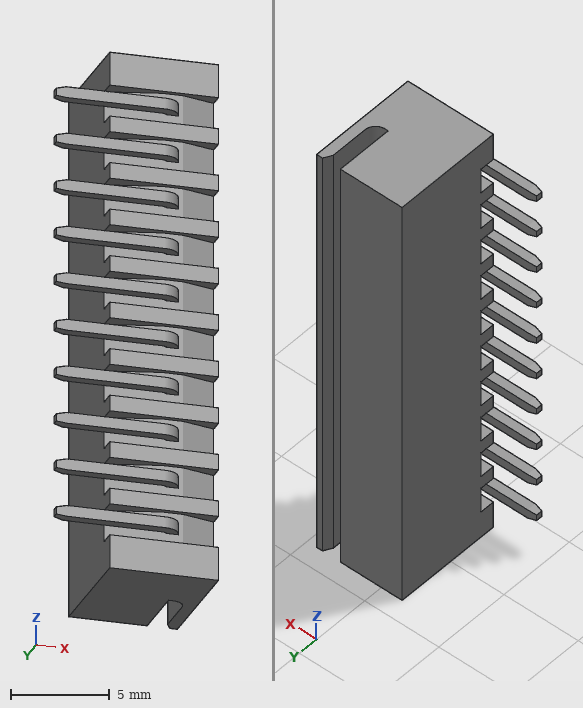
import cadquery as cq
import math


body_width = 5.76
body_depth = 7.0
body_length = 28.12

pin_count = 10
end_wall = 1.8
pocket_length = 1.7
pin_pitch = (body_length - 2 * end_wall - pocket_length) / (pin_count - 1)

seat_depth = 0.28
seat_start = 2.87
seat_end = 4.0
left_pocket_depth = 0.95
right_pocket_depth = 0.82

slit_start = 4.15
slit_width = 0.93
slit_end = slit_start + slit_width
slit_depth = 3.65
slit_corner_radius = 0.7
lip_bevel_width = 0.28
lip_bevel_depth = 0.5

pin_size = 0.6
pin_overhang = 2.95
pin_standoff = 0.45
pin_outer_face = -pin_standoff
pin_inner_face = pin_outer_face + pin_size
bend_outer_radius = 0.93
bend_inner_radius = bend_outer_radius - pin_size
bend_start = 2.8
bend_centre_y = pin_outer_face + bend_outer_radius
leg_outer_x = bend_start + bend_outer_radius
leg_inner_x = leg_outer_x - pin_size
leg_length = 0.28
leg_end = bend_centre_y + leg_length
tip_length = 0.5
tip_size = 0.4
tip_end = -pin_overhang
shank_start = tip_end + tip_length


def make_body():
    """Solid block with the latch slit cut through its whole length."""
    block = cq.Workplane("XY").box(body_width, body_depth, body_length, centered=False)
    slit_floor = body_depth - slit_depth
    arc_offset = slit_corner_radius * math.sqrt(0.5)
    arc_centre = (slit_end - slit_corner_radius, slit_floor + slit_corner_radius)
    slit = (
        cq.Workplane("XY")
        .moveTo(slit_start, body_depth)
        .lineTo(slit_start, slit_floor)
        .lineTo(arc_centre[0], slit_floor)
        .threePointArc(
            (arc_centre[0] + arc_offset, arc_centre[1] - arc_offset),
            (slit_end, arc_centre[1]),
        )
        .lineTo(slit_end, body_depth - lip_bevel_depth)
        .lineTo(slit_end + lip_bevel_width, body_depth)
        .close()
        .extrude(body_length)
    )
    return block.cut(slit)


def make_pocket(centre_z):
    """Material removed around one pin."""
    return (
        cq.Workplane("XY")
        .workplane(offset=centre_z - pocket_length / 2)
        .polyline([
            (0, 0),
            (0, left_pocket_depth),
            (seat_start, seat_depth),
            (seat_end, seat_depth),
            (body_width, right_pocket_depth),
            (body_width, 0),
        ])
        .close()
        .extrude(pocket_length)
    )


def make_pin(centre_z):
    """Square pin with a tapered tip, bent a quarter turn into the body."""
    diagonal_factor = math.sqrt(0.5)
    outer_mid = bend_outer_radius * diagonal_factor
    inner_mid = bend_inner_radius * diagonal_factor
    shank = (
        cq.Workplane("XY")
        .workplane(offset=centre_z - pin_size / 2)
        .moveTo(shank_start, pin_outer_face)
        .lineTo(bend_start, pin_outer_face)
        .threePointArc(
            (bend_start + outer_mid, bend_centre_y - outer_mid),
            (leg_outer_x, bend_centre_y),
        )
        .lineTo(leg_outer_x, leg_end)
        .lineTo(leg_inner_x, leg_end)
        .lineTo(leg_inner_x, bend_centre_y)
        .threePointArc(
            (bend_start + inner_mid, bend_centre_y - inner_mid),
            (bend_start, pin_inner_face),
        )
        .lineTo(shank_start, pin_inner_face)
        .close()
        .extrude(pin_size)
    )
    pin_axis_y = pin_outer_face + pin_size / 2
    tip = (
        cq.Workplane("YZ", origin=(tip_end, pin_axis_y, centre_z))
        .rect(tip_size, tip_size)
        .workplane(offset=tip_length)
        .rect(pin_size, pin_size)
        .loft(combine=True)
    )
    return shank.union(tip)


result = make_body()
for index in range(pin_count):
    pin_z = end_wall + pocket_length / 2 + index * pin_pitch
    result = result.cut(make_pocket(pin_z)).union(make_pin(pin_z))